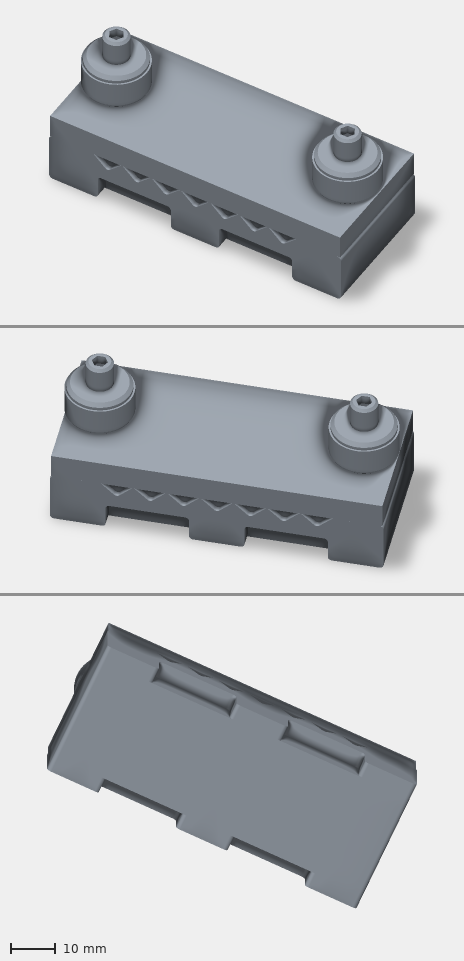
import cadquery as cq
base_length = 76.2
base_width = 31.8
base_height = 12.9
base_edge_radius = 1.0
plate_length = 75.7
plate_height = 6.2

notch_count = 7
notch_pitch = 7.6
notch_mouth = 7.1
notch_apex_depth = 3.35
notch_reach = 1.3
notch_root_radius = 0.9
notch_crest_radius = 0.6

pocket_spacing = 31.7
pocket_width = 19.05
pocket_height = 6.4
pocket_reach = 3.6
pocket_radius = 0.9

knob_offset = 30.2
knob_diameter = 15.85
knob_height = 9.6
collar_diameter = 15.0
collar_height = 1.6
collar_chamfer = 0.85
stud_diameter = 6.3
stud_height = 6.4
stud_chamfer = 0.6
socket_across_corners = 3.65
socket_depth = 2.3

plate_top = base_height + plate_height
knob_top = plate_top + knob_height
stud_top = knob_top + stud_height


def notch_points():
    """Corners of the V notches along the top of the base, from -X to +X."""
    points = []
    for index in range(notch_count):
        center = (index - (notch_count - 1) / 2) * notch_pitch
        points.append((center - notch_mouth / 2, base_height))
        points.append((center, base_height - notch_apex_depth))
        points.append((center + notch_mouth / 2, base_height))
    return points


def pocket_points():
    """Corners of the pockets along the bottom of the base, from +X to -X."""
    points = []
    for center in (pocket_spacing / 2, -pocket_spacing / 2):
        right = center + pocket_width / 2
        left = center - pocket_width / 2
        points += [(right, 0), (right, pocket_height), (left, pocket_height), (left, 0)]
    return points


def inner_edges(slab, z_low, z_high):
    """Edges along Y between two heights, leaving out the four outer edges of the slab."""
    margin = 0.1
    half_x = base_length / 2 - 2 * base_edge_radius
    half_y = base_width
    box = cq.selectors.BoxSelector(
        (-half_x, -half_y, z_low - margin),
        (half_x, half_y, z_high + margin),
    )
    return slab.edges("|Y").edges(box)


def base_slab(y_inner, y_outer, top_points, bottom_points):
    """Slice of the base between two Y positions; its X-Z outline has the given notches and pockets."""
    half_length = base_length / 2
    outline = [(-half_length, 0), (-half_length, base_height)]
    outline += top_points
    outline += [(half_length, base_height), (half_length, 0)]
    outline += bottom_points
    end_face = cq.Workplane("XZ", origin=(0, y_outer, 0)).polyline(outline).close()
    slab = end_face.extrude(y_outer - y_inner)
    slab = slab.edges("|Y and (<X or >X)").fillet(base_edge_radius)
    if top_points:
        notch_apex = base_height - notch_apex_depth
        slab = inner_edges(slab, notch_apex, notch_apex).fillet(notch_root_radius)
        slab = inner_edges(slab, base_height, base_height).fillet(notch_crest_radius)
    if bottom_points:
        slab = inner_edges(slab, 0, pocket_height).fillet(pocket_radius)
    return slab


def make_base():
    """Plain core with a pocketed slab and then a notched slab on each long side, as one body."""
    outer_face = base_width / 2
    notch_end = outer_face - notch_reach
    pocket_end = outer_face - pocket_reach
    base = base_slab(-pocket_end, pocket_end, [], [])
    pocketed = base_slab(pocket_end, notch_end, [], pocket_points())
    notched = base_slab(notch_end, outer_face, notch_points(), pocket_points())
    for slab in (pocketed, notched):
        base = base.union(slab).union(slab.mirror("XZ"))
    return base


def make_knob(x):
    """Turned knob and stud standing on the plate, with a hexagonal socket in the stud."""
    knob_radius = knob_diameter / 2
    collar_radius = collar_diameter / 2
    face_radius = collar_radius - collar_chamfer
    stud_radius = stud_diameter / 2
    profile = [
        (0, plate_top),
        (face_radius, plate_top),
        (collar_radius, plate_top + collar_chamfer),
        (collar_radius, plate_top + collar_height),
        (knob_radius, plate_top + collar_height),
        (knob_radius, knob_top - collar_height),
        (collar_radius, knob_top - collar_height),
        (collar_radius, knob_top - collar_chamfer),
        (face_radius, knob_top),
        (stud_radius, knob_top),
        (stud_radius, stud_top - stud_chamfer),
        (stud_radius - stud_chamfer, stud_top),
        (0, stud_top),
    ]
    knob = cq.Workplane("XZ").polyline(profile).close().revolve(360, (0, 0), (0, 1))
    socket = (
        cq.Workplane("XY", origin=(0, 0, stud_top - socket_depth))
        .polygon(6, socket_across_corners)
        .extrude(socket_depth)
    )
    return knob.cut(socket).translate((x, 0, 0))


def make_cover():
    """Plate and its two knobs as one body."""
    cover = cq.Workplane("XY", origin=(0, 0, base_height)).box(
        plate_length, base_width, plate_height, centered=(True, True, False)
    )
    for x in (-knob_offset, knob_offset):
        cover = cover.union(make_knob(x))
    return cover


base = make_base()
cover = make_cover()
result = cq.Compound.makeCompound([base.val(), cover.val()])